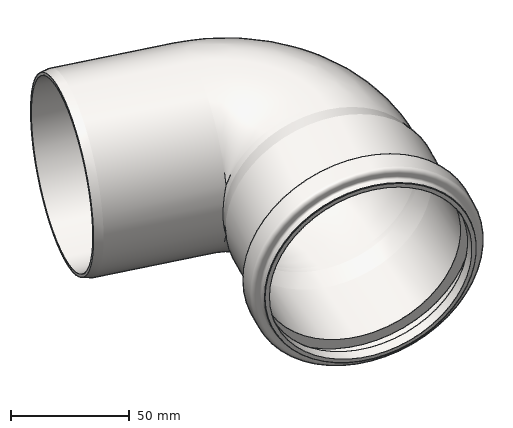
import cadquery as cq
import math


BEND_ANGLE = 87.5
BEND_RADIUS = 43.0

PIPE_OUTER_R = 90.2 / 2
PIPE_BORE_R = 85.44 / 2
SPIGOT_LENGTH = 58.84
LEAD_IN_LENGTH = 4.2
LEAD_IN_DEPTH = 1.0

SOCKET_OUTER_R = 94.7 / 2
SOCKET_BORE_R = 90.5 / 2
SEAL_RING_OUTER_R = 104.5 / 2
SEAL_GROOVE_R = 100.3 / 2
LIP_OUTER_R = 95.0 / 2
LIP_BORE_R = 90.8 / 2
WALL = SOCKET_OUTER_R - SOCKET_BORE_R

CONE_START = 3.5
CONE_END = 11.5
BORE_CONE_START = 2.7
SEAL_START = 43.2
SEAL_END = 57.6
SOCKET_LENGTH = 59.82
MOUTH_TAPER = 0.4

ROOT_FILLET = 1.0
CREST_FILLET = 2.0

OVERLAP = 1.0

BEND_END_X = BEND_RADIUS * (1 - math.cos(math.radians(BEND_ANGLE)))
BEND_END_Y = SPIGOT_LENGTH + BEND_RADIUS * math.sin(math.radians(BEND_ANGLE))


def place_socket(body):
    """Move a body built along +Y from the origin onto the end of the bend."""
    turned = body.rotate((0, 0, 0), (0, 0, 1), -BEND_ANGLE)
    return turned.translate((BEND_END_X, BEND_END_Y, 0))


def revolve_about_y(profile):
    return profile.close().revolve(360, (0, 0, 0), (0, 1, 0))


def bend(section):
    """Revolve a cross-section drawn at the inner end of the spigot round the bend axis."""
    return section.revolve(BEND_ANGLE, (BEND_RADIUS, 1, 0), (BEND_RADIUS, 0, 0))


def bend_section():
    return cq.Workplane("XZ", origin=(0, SPIGOT_LENGTH, 0))


def outer_bend():
    """Outside of the bend; the disc is trimmed at the bend axis, which it overlaps."""
    chord = math.sqrt(PIPE_OUTER_R**2 - BEND_RADIUS**2)
    section = bend_section().moveTo(BEND_RADIUS, chord)
    section = section.threePointArc((-PIPE_OUTER_R, 0), (BEND_RADIUS, -chord)).close()
    return bend(section)


def bore_bend():
    return bend(bend_section().circle(PIPE_BORE_R))


def outer_spigot():
    """Outside of the spigot with its tapered lead-in at the open end."""
    profile = (
        cq.Workplane("XY")
        .lineTo(PIPE_OUTER_R - LEAD_IN_DEPTH, 0)
        .lineTo(PIPE_OUTER_R, LEAD_IN_LENGTH)
        .lineTo(PIPE_OUTER_R, SPIGOT_LENGTH)
        .lineTo(0, SPIGOT_LENGTH)
    )
    return revolve_about_y(profile)


def bore_spigot():
    bore = cq.Workplane("XZ", origin=(0, -OVERLAP, 0)).circle(PIPE_BORE_R)
    return bore.extrude(-(SPIGOT_LENGTH + OVERLAP))


def outer_socket():
    """Outside of the socket: collar, flare, tube, rounded seal ring and lip."""
    face_start = SEAL_START + ROOT_FILLET
    face_end = SEAL_END - ROOT_FILLET
    crest_start = face_start + CREST_FILLET
    crest_end = face_end - CREST_FILLET
    shoulder_r = SEAL_RING_OUTER_R - CREST_FILLET
    profile = (
        cq.Workplane("XY")
        .lineTo(PIPE_OUTER_R, 0)
        .lineTo(PIPE_OUTER_R, CONE_START)
        .lineTo(SOCKET_OUTER_R, CONE_END)
        .lineTo(SOCKET_OUTER_R, SEAL_START)
        .tangentArcPoint((SOCKET_OUTER_R + ROOT_FILLET, face_start), relative=False)
        .lineTo(shoulder_r, face_start)
        .radiusArc((SEAL_RING_OUTER_R, crest_start), -CREST_FILLET)
        .lineTo(SEAL_RING_OUTER_R, crest_end)
        .tangentArcPoint((shoulder_r, face_end), relative=False)
        .lineTo(LIP_OUTER_R + ROOT_FILLET, face_end)
        .radiusArc((LIP_OUTER_R, SEAL_END), ROOT_FILLET)
        .lineTo(LIP_OUTER_R, SOCKET_LENGTH - MOUTH_TAPER)
        .lineTo(SOCKET_OUTER_R, SOCKET_LENGTH)
        .lineTo(0, SOCKET_LENGTH)
    )
    return place_socket(revolve_about_y(profile))


def bore_socket():
    """Inside of the socket, with the groove that holds the seal."""
    groove_start = SEAL_START + ROOT_FILLET + WALL
    groove_end = SEAL_END - ROOT_FILLET - WALL
    mouth = SOCKET_LENGTH + OVERLAP
    profile = (
        cq.Workplane("XY")
        .lineTo(PIPE_BORE_R, 0)
        .lineTo(PIPE_BORE_R, BORE_CONE_START)
        .lineTo(SOCKET_BORE_R, CONE_END)
        .lineTo(SOCKET_BORE_R, groove_start)
        .lineTo(SEAL_GROOVE_R, groove_start)
        .lineTo(SEAL_GROOVE_R, groove_end)
        .lineTo(LIP_BORE_R, groove_end)
        .lineTo(LIP_BORE_R, mouth)
        .lineTo(0, mouth)
    )
    return place_socket(revolve_about_y(profile))


outside = outer_spigot().union(outer_bend()).union(outer_socket())
inside = bore_spigot().union(bore_bend()).union(bore_socket())
result = outside.cut(inside)